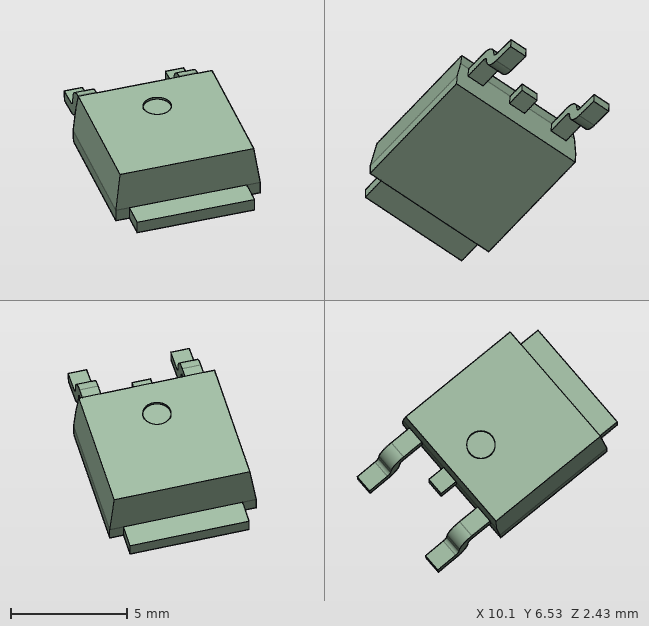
import cadquery as cq
import math

housing_height = 2.33
band_height = 0.57
ridge_height = 1.54
ridge_x = 2.93
base_left_x = 3.05
top_left_x = 2.99
base_right_x = 9.02
top_right_x = 8.86
base_width = 6.53
top_width = 6.05

mark_diameter = 1.22
mark_depth = 0.1
mark_x = 4.68

overall_length = 10.11
tab_width = 5.31
tab_thickness = band_height

lead_width = 0.83
lead_thickness = 0.5
lead_top = 1.52
lead_pitch = 2.28
stub_x = 2.1
lead_tip_x = 0.0
lead_lowest_z = -0.1
upper_bend_x = 1.91
inner_radius = 0.2
outer_radius = inner_radius + lead_thickness
shank_angle = 83.0
foot_angle = 3.5


def make_housing():
    """Block with tapered walls, a creased lead side and a round mark."""
    side_profile = (
        cq.Workplane("XZ")
        .polyline([
            (base_left_x, 0),
            (base_right_x, 0),
            (base_right_x, band_height),
            (top_right_x, housing_height),
            (top_left_x, housing_height),
            (ridge_x, ridge_height),
        ])
        .close()
        .extrude(base_width / 2, both=True)
    )
    end_profile = (
        cq.Workplane("YZ")
        .polyline([
            (-base_width / 2, 0),
            (base_width / 2, 0),
            (base_width / 2, band_height),
            (top_width / 2, housing_height),
            (-top_width / 2, housing_height),
            (-base_width / 2, band_height),
        ])
        .close()
        .extrude(overall_length)
    )
    mark = (
        cq.Workplane("XY", origin=(mark_x, 0, housing_height - mark_depth))
        .circle(mark_diameter / 2)
        .extrude(mark_depth)
    )
    return side_profile.intersect(end_profile).cut(mark)


def make_tab():
    """Plate butting against the wall opposite the leads."""
    return cq.Workplane("XY").box(
        overall_length - base_right_x, tab_width, tab_thickness, centered=(False, True, False)
    ).translate((base_right_x, 0, 0))


def wall_x(z):
    """X of the lead-side wall at a height below the ridge."""
    return base_left_x + (ridge_x - base_left_x) * z / ridge_height


def make_stub_lead():
    """Short straight lead, its end flush with the sloping wall."""
    lead_bottom = lead_top - lead_thickness
    return (
        cq.Workplane("XZ")
        .polyline([
            (stub_x, lead_top),
            (wall_x(lead_top), lead_top),
            (wall_x(lead_bottom), lead_bottom),
            (stub_x, lead_bottom),
        ])
        .close()
        .extrude(lead_width / 2, both=True)
    )


def above(point, distance, slope):
    """Point at a distance from another, square to a run of the given slope."""
    angle = math.radians(slope)
    return (point[0] - distance * math.sin(angle), point[1] + distance * math.cos(angle))


def make_bent_lead(y):
    """Gull-wing lead of constant thickness, centred on the given y."""
    shank = math.radians(shank_angle)
    foot = math.radians(foot_angle)
    middle_slope = (shank_angle + foot_angle) / 2
    lead_bottom = lead_top - lead_thickness

    upper = (upper_bend_x, lead_top - outer_radius)
    tip_bottom = (lead_tip_x + lead_thickness * math.sin(foot), lead_lowest_z)
    tip_top = above(tip_bottom, lead_thickness, foot_angle)
    shank_line = above(upper, outer_radius + inner_radius, shank_angle)
    foot_line = above(tip_top, inner_radius, foot_angle)
    lower_x = (
        foot_line[1] - shank_line[1] + shank_line[0] * math.tan(shank) - foot_line[0] * math.tan(foot)
    ) / (math.tan(shank) - math.tan(foot))
    lower = (lower_x, foot_line[1] + (lower_x - foot_line[0]) * math.tan(foot))

    outline = (
        cq.Workplane("XZ", origin=(0, y, 0))
        .moveTo(wall_x(lead_top), lead_top)
        .lineTo(upper_bend_x, lead_top)
        .threePointArc(
            above(upper, outer_radius, shank_angle / 2), above(upper, outer_radius, shank_angle)
        )
        .lineTo(*above(lower, -inner_radius, shank_angle))
        .threePointArc(
            above(lower, -inner_radius, middle_slope), above(lower, -inner_radius, foot_angle)
        )
        .lineTo(*tip_top)
        .lineTo(*tip_bottom)
        .lineTo(*above(lower, -outer_radius, foot_angle))
        .threePointArc(
            above(lower, -outer_radius, middle_slope), above(lower, -outer_radius, shank_angle)
        )
        .lineTo(*above(upper, inner_radius, shank_angle))
        .threePointArc(
            above(upper, inner_radius, shank_angle / 2), (upper_bend_x, lead_bottom)
        )
        .lineTo(wall_x(lead_bottom), lead_bottom)
        .close()
    )
    return outline.extrude(lead_width / 2, both=True)


housing = make_housing()
tab = make_tab()
stub_lead = make_stub_lead()
bent_leads = [make_bent_lead(side * lead_pitch) for side in (-1, 1)]

result = cq.Compound.makeCompound([
    housing.val(),
    tab.val(),
    stub_lead.val(),
    *[lead.val() for lead in bent_leads],
])